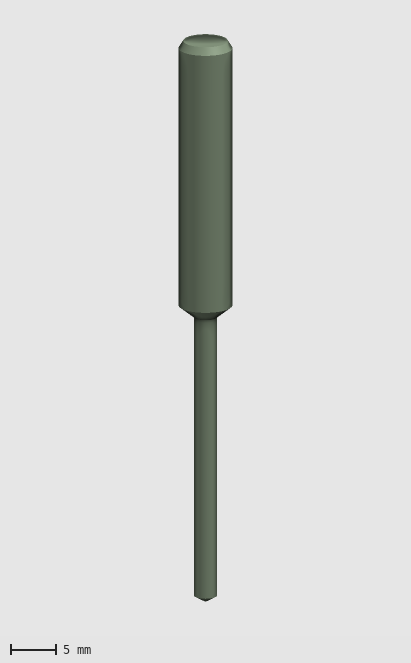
import cadquery as cq
import math

total_length = 65.0

shank_diameter = 6.0
shank_length = 32.0
top_chamfer_width = 0.5
top_chamfer_height = 0.85
shoulder_height = 1.35

pin_diameter = 2.6
tip_angle = 120.0

shank_radius = shank_diameter / 2
pin_radius = pin_diameter / 2
joint_z = total_length - shank_length
tip_height = pin_radius / math.tan(math.radians(tip_angle / 2))


def revolve_profile(points):
    """Turn a closed (radius, height) outline around the Z axis."""
    return cq.Workplane("XZ").polyline(points).close().revolve(360, (0, 0), (0, 1))


def make_shank():
    """Shank whose shoulder tapers down to the pin diameter at the joint."""
    return revolve_profile([
        (0, joint_z),
        (pin_radius, joint_z),
        (shank_radius, joint_z + shoulder_height),
        (shank_radius, total_length - top_chamfer_height),
        (shank_radius - top_chamfer_width, total_length),
        (0, total_length),
    ])


def make_pin():
    """Pointed pin that butts against the flat lower end of the shank."""
    return revolve_profile([
        (0, 0),
        (pin_radius, tip_height),
        (pin_radius, joint_z),
        (0, joint_z),
    ])


shank = make_shank()
pin = make_pin()

result = cq.Compound.makeCompound([shank.val(), pin.val()])